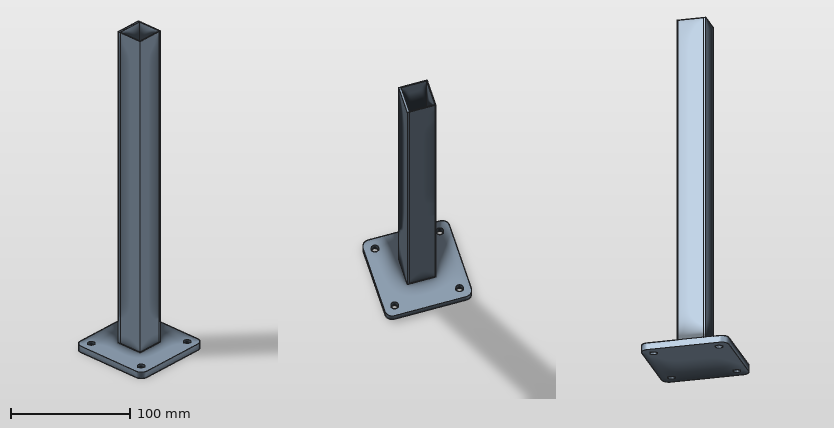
import cadquery as cq

total_height = 306.0
plate_side = 76.0
plate_thickness = 6.0
corner_radius = 6.5

hole_diameter = 6.5
hole_spacing = 57.0

tube_side = 25.0
wall_thickness = 0.75
thick_wall_thickness = 2.0
tube_length = total_height - plate_thickness
bore_length_x = tube_side - wall_thickness - thick_wall_thickness
bore_length_y = tube_side - 2 * wall_thickness
bore_offset_x = (thick_wall_thickness - wall_thickness) / 2


def make_base_plate():
    """Square plate with rounded corners and four through holes."""
    return (
        cq.Workplane("XY")
        .rect(plate_side, plate_side)
        .extrude(plate_thickness)
        .edges("|Z")
        .fillet(corner_radius)
        .faces(">Z")
        .workplane()
        .rect(hole_spacing, hole_spacing, forConstruction=True)
        .vertices()
        .hole(hole_diameter)
    )


def make_post():
    """Square tube with one thicker wall, open at the top and closed below by the plate."""
    return (
        cq.Workplane("XY")
        .workplane(offset=plate_thickness)
        .rect(tube_side, tube_side)
        .center(bore_offset_x, 0)
        .rect(bore_length_x, bore_length_y)
        .extrude(tube_length)
    )


result = make_base_plate().union(make_post())